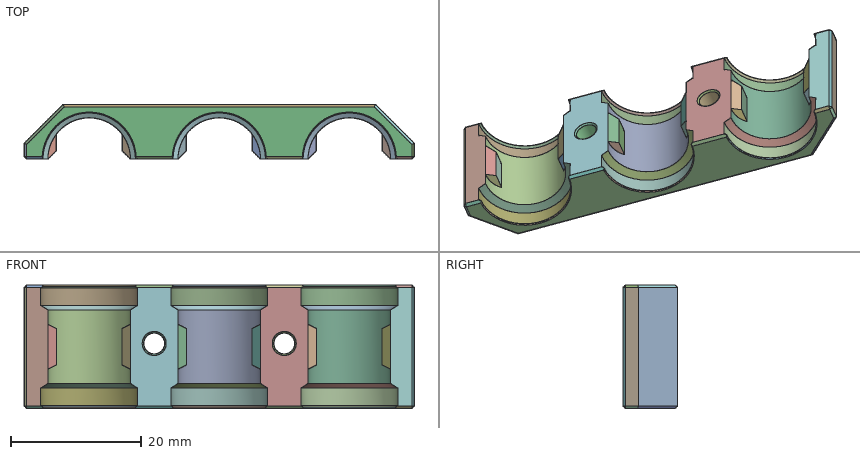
import cadquery as cq
import math

LENGTH = 60.0
DEPTH = 8.45
HEIGHT = 19.0
CORNER_CUT = 6.0
EDGE_CHAMFER = 0.4

PITCH = 20.0
BORE_COUNT = 3
WAIST_RADIUS = 6.35
SEAT_RADIUS = 7.45
LIP_RADIUS = 7.1
MOUTH_RADIUS = 7.25
LIP_DEPTH = 0.2
SEAT_START = 0.5
SEAT_END = 3.15
WAIST_START = 3.85

PAD_HALF_GAP = 5.05
PAD_HEIGHT = 5.6
PAD_FLANK_RATIO = 0.5

HOLE_DIAMETER = 3.2
HOLE_CHAMFER = 0.25
HOLE_Z = 0.5

half_length = LENGTH / 2
half_height = HEIGHT / 2
bore_positions = [(i - (BORE_COUNT - 1) / 2) * PITCH for i in range(BORE_COUNT)]
hole_positions = [x + PITCH / 2 for x in bore_positions[:-1]]


def make_body():
    """Bar with cut back corners; end rims and front vertical edges chamfered."""
    outline = [
        (-half_length, 0),
        (half_length, 0),
        (half_length, DEPTH - CORNER_CUT),
        (half_length - CORNER_CUT, DEPTH),
        (-half_length + CORNER_CUT, DEPTH),
        (-half_length, DEPTH - CORNER_CUT),
    ]
    body = cq.Workplane("XY").workplane(offset=-half_height).polyline(outline).close().extrude(HEIGHT)
    front_corners = body.edges("|Z").edges("<Y")
    end_rims = body.faces("<Z or >Z").edges()
    return body.newObject(front_corners.vals() + end_rims.vals()).chamfer(EDGE_CHAMFER)


def make_bore(x):
    """Revolved bore: flared mouth, lip, seat, cone, waist, mirrored about mid height."""
    upper = [
        (WAIST_RADIUS, half_height - WAIST_START),
        (SEAT_RADIUS, half_height - SEAT_END),
        (SEAT_RADIUS, half_height - SEAT_START),
        (LIP_RADIUS, half_height - LIP_DEPTH),
        (MOUTH_RADIUS, half_height),
        (0, half_height),
    ]
    lower = [(r, -z) for r, z in reversed(upper)]
    bore = cq.Workplane("XZ").polyline(lower + upper).close().revolve(360, (0, 0), (0, 1))
    return bore.translate((x, 0, 0))


def make_pad(x, side):
    """Tapered pad on one wall of a waist, its front cut at 45 degrees."""
    pad_depth = WAIST_RADIUS - PAD_HALF_GAP
    root = SEAT_RADIUS
    back_y = math.sqrt(WAIST_RADIUS**2 - PAD_HALF_GAP**2)
    plan = [
        (root, 0),
        (WAIST_RADIUS, 0),
        (PAD_HALF_GAP, pad_depth),
        (PAD_HALF_GAP, back_y),
        (root, back_y),
    ]
    face_z = PAD_HEIGHT / 2
    root_z = face_z + (root - PAD_HALF_GAP) * PAD_FLANK_RATIO
    elevation = [(PAD_HALF_GAP, -face_z), (PAD_HALF_GAP, face_z), (root, root_z), (root, -root_z)]
    prism = cq.Workplane("XY").polyline(plan).close().extrude(half_height, both=True)
    taper = cq.Workplane("XZ").polyline(elevation).close().extrude(-DEPTH)
    pad = prism.intersect(taper)
    if side < 0:
        pad = pad.mirror("YZ")
    return pad.translate((x, 0, 0))


def make_screw_hole(x):
    """Through hole along Y with a chamfered front rim."""
    radius = HOLE_DIAMETER / 2
    profile = [
        (0, 0),
        (radius + HOLE_CHAMFER, 0),
        (radius, HOLE_CHAMFER),
        (radius, DEPTH),
        (0, DEPTH),
    ]
    hole = cq.Workplane("XY").polyline(profile).close().revolve(360, (0, 0), (0, 1))
    return hole.translate((x, 0, HOLE_Z))


result = make_body()
for bore_x in bore_positions:
    result = result.cut(make_bore(bore_x))
    for pad_side in (-1, 1):
        result = result.union(make_pad(bore_x, pad_side))
for hole_x in hole_positions:
    result = result.cut(make_screw_hole(hole_x))